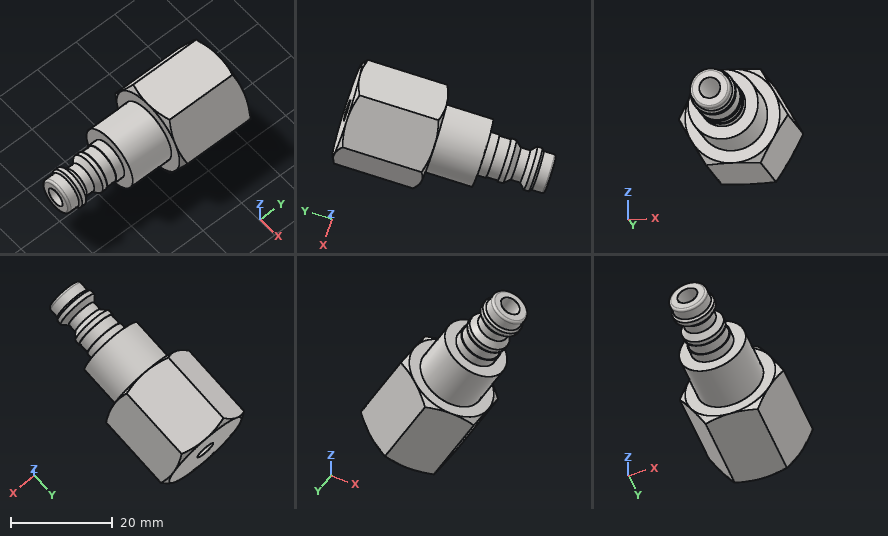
import cadquery as cq
import math

total_length = 42.0
hex_length = 18.0
hex_across_flats = 19.0
hex_chamfer_angle = 30.0
collar_length = 10.0
collar_radius = 7.0
bore_radius = 2.1

tip_radius = 4.05
rim_radius = 4.5
neck_radius = 3.35
relief_radius = 4.3

tip_fillet = 0.5
lip_start = 2.6
lip_chamfer = rim_radius - tip_radius
lip_end = 4.07
neck_start = 5.2
neck_end = 7.15
rear_rim_start = 8.4
relief_start = 9.55
relief_end = 11.93

hex_start = total_length - hex_length
collar_start = hex_start - collar_length
hex_corner_radius = hex_across_flats / 2 / math.cos(math.radians(30))


def revolve_about_y(profile):
    """Turn a closed (radius, Y) profile a full revolution about the Y axis."""
    return profile.close().revolve(360, (0, 0, 0), (0, 1, 0))


def make_turned_body():
    """Plug with locking groove, followed by the plain collar."""
    fillet_offset = tip_fillet * math.sqrt(0.5)
    fillet_middle = (tip_radius - tip_fillet + fillet_offset, tip_fillet - fillet_offset)
    profile = (
        cq.Workplane("XY")
        .moveTo(0, 0)
        .lineTo(tip_radius - tip_fillet, 0)
        .threePointArc(fillet_middle, (tip_radius, tip_fillet))
        .lineTo(tip_radius, lip_start)
        .lineTo(rim_radius, lip_start + lip_chamfer)
        .lineTo(rim_radius, lip_end)
        .lineTo(neck_radius, neck_start)
        .lineTo(neck_radius, neck_end)
        .lineTo(rim_radius, rear_rim_start)
        .lineTo(rim_radius, relief_start)
        .lineTo(relief_radius, relief_start)
        .lineTo(relief_radius, relief_end)
        .lineTo(rim_radius, relief_end)
        .lineTo(rim_radius, collar_start)
        .lineTo(collar_radius, collar_start)
        .lineTo(collar_radius, hex_start)
        .lineTo(0, hex_start)
    )
    return revolve_about_y(profile)


def make_hexagon():
    """Hexagon with corners on +X and -X, its corners turned off conically at both ends."""
    prism = (
        cq.Workplane("XZ", origin=(0, hex_start, 0))
        .polygon(6, 2 * hex_corner_radius)
        .extrude(-hex_length)
    )
    face_radius = hex_across_flats / 2
    chamfer_length = (hex_corner_radius - face_radius) * math.tan(math.radians(hex_chamfer_angle))
    envelope = (
        cq.Workplane("XY")
        .moveTo(0, hex_start)
        .lineTo(face_radius, hex_start)
        .lineTo(hex_corner_radius, hex_start + chamfer_length)
        .lineTo(hex_corner_radius, total_length - chamfer_length)
        .lineTo(face_radius, total_length)
        .lineTo(0, total_length)
    )
    return prism.intersect(revolve_about_y(envelope))


def make_bore():
    """Plain bore through the whole length."""
    return cq.Workplane("XZ").circle(bore_radius).extrude(-total_length)


result = make_turned_body().union(make_hexagon()).cut(make_bore())